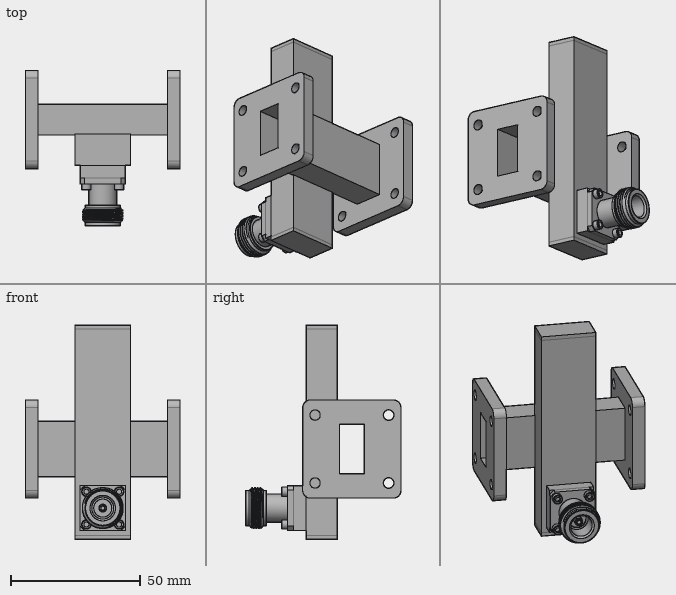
import cadquery as cq
import math

guide_length = 60.0
bore_depth_y = 9.525
bore_height = 19.05
guide_wall = 1.27
guide_depth_y = bore_depth_y + 2 * guide_wall
guide_height = bore_height + 2 * guide_wall

flange_size = 38.1
flange_thickness = 5.0
flange_corner_radius = 3.0
flange_hole_diameter = 4.0
flange_hole_spacing_y = 28.5
flange_hole_spacing_z = 26.3

arm_width = guide_height
arm_depth = guide_depth_y
arm_length = 80.0
arm_cap_thickness = 1.5
arm_overlap = 0.4
arm_bottom_z = -33.5
arm_back_y = -guide_depth_y / 2 + arm_overlap
arm_front_y = arm_back_y - arm_depth

mount_size = 17.48
connector_z = -22.88
pad_height = 5.0
plate_thickness = 2.3
plate_corner_chamfer = 1.75
plate_top = pad_height + plate_thickness

screw_spacing = 12.7
screw_head_diameter = 3.66
screw_head_height = 2.2
screw_head_chamfer = 0.2
screw_socket_diameter = 2.0
screw_socket_depth = 1.2

overall_depth_y = 60.27
connector_tip_y = flange_size / 2 - overall_depth_y
connector_top = arm_front_y - connector_tip_y
neck_diameter = 10.97
collar_length = 8.2
rim_diameter = 13.72
rim_chamfer = 0.2
rear_rim_length = 1.15
front_rim_length = 1.45
collar_base = connector_top - collar_length

thread_diameter = 15.875
thread_pitch = 25.4 / 24
thread_depth = 0.68
thread_start_angle = 195.0
thread_angle = 60.0
thread_turns = 5
groove_clearance = 0.1

mouth_diameter = 9.9
mouth_chamfer = 0.7
socket_depth = 8.0
insulator_diameter = 6.99
insulator_depth = 8.6
contact_diameter = 3.05
contact_recess = 5.0
contact_bore_diameter = 1.52
contact_bore_depth = 3.0
contact_chamfer = 0.3


def make_end_flange(center_x):
    """Square flange with rounded corners and four bolt holes."""
    plate = (
        cq.Workplane("XY")
        .box(flange_thickness, flange_size, flange_size)
        .edges("|X")
        .fillet(flange_corner_radius)
    )
    holes = (
        cq.Workplane("YZ")
        .rect(flange_hole_spacing_y, flange_hole_spacing_z, forConstruction=True)
        .vertices()
        .circle(flange_hole_diameter / 2)
        .extrude(flange_thickness, both=True)
    )
    return plate.cut(holes).translate((center_x, 0, 0))


def make_through_guide():
    """Rectangular tube with a flange at each end, still without its bore."""
    guide = cq.Workplane("XY").box(guide_length, guide_depth_y, guide_height)
    flange_x = (guide_length - flange_thickness) / 2
    for side in (-1, 1):
        guide = guide.union(make_end_flange(side * flange_x))
    return guide


def make_guide_bore():
    return cq.Workplane("XY").box(guide_length, bore_depth_y, bore_height)


def make_arm_block(bottom_z, height):
    """Upright block with the arm's cross-section."""
    center_y = (arm_back_y + arm_front_y) / 2
    block = cq.Workplane("XY").box(arm_width, arm_depth, height, centered=(True, True, False))
    return block.translate((0, center_y, bottom_z))


def make_arm():
    """Coupled arm closed by a cap at its lower and upper end."""
    arm = make_arm_block(arm_bottom_z, arm_length)
    for cap_z in (arm_bottom_z - arm_cap_thickness, arm_bottom_z + arm_length):
        arm = arm.union(make_arm_block(cap_z, arm_cap_thickness), clean=False)
    return arm


def make_disc(diameter, bottom, top):
    return cq.Workplane("XY").workplane(offset=bottom).circle(diameter / 2).extrude(top - bottom)


def make_screw_head():
    """Cap screw head with a round socket, standing on the mounting plate."""
    head = make_disc(screw_head_diameter, plate_top, plate_top + screw_head_height)
    head = head.faces(">Z").chamfer(screw_head_chamfer)
    return head.faces(">Z").workplane().hole(screw_socket_diameter, screw_socket_depth)


def make_mount():
    """Square pad, corner-chamfered plate and four screw heads."""
    pad = cq.Workplane("XY").rect(mount_size, mount_size).extrude(pad_height)
    plate = (
        cq.Workplane("XY")
        .workplane(offset=pad_height)
        .rect(mount_size, mount_size)
        .extrude(plate_thickness)
        .edges("|Z")
        .chamfer(plate_corner_chamfer)
    )
    mount = pad.union(plate, clean=False)
    for side_x in (-1, 1):
        for side_y in (-1, 1):
            place = (side_x * screw_spacing / 2, side_y * screw_spacing / 2, 0)
            mount = mount.union(make_screw_head().translate(place), clean=False)
    return mount


def make_collar_blank():
    """Revolved collar: two rims with a thicker thread band, coned at both ends, between them."""
    rim_radius = rim_diameter / 2
    band_radius = thread_diameter / 2
    cone = band_radius - rim_radius
    band_start = collar_base + rear_rim_length
    band_end = connector_top - front_rim_length
    return (
        cq.Workplane("XZ")
        .moveTo(0, collar_base)
        .lineTo(rim_radius - rim_chamfer, collar_base)
        .lineTo(rim_radius, collar_base + rim_chamfer)
        .lineTo(rim_radius, band_start)
        .lineTo(band_radius, band_start + cone)
        .lineTo(band_radius, band_end - cone)
        .lineTo(rim_radius, band_end)
        .lineTo(rim_radius, connector_top - rim_chamfer)
        .lineTo(rim_radius - rim_chamfer, connector_top)
        .lineTo(0, connector_top)
        .close()
        .revolve(360, (0, 0, 0), (0, 1, 0))
    )


def make_groove_turn():
    """One full helical turn of the 60 degree V groove, starting at the height of the origin."""
    band_radius = thread_diameter / 2
    mouth_radius = band_radius + groove_clearance
    root_radius = band_radius - thread_depth
    half_width = (mouth_radius - root_radius) * math.tan(math.radians(thread_angle / 2))
    helix = cq.Wire.makeHelix(thread_pitch, thread_pitch, band_radius)
    return (
        cq.Workplane("XZ")
        .moveTo(root_radius, 0)
        .lineTo(mouth_radius, half_width)
        .lineTo(mouth_radius, -half_width)
        .close()
        .sweep(cq.Workplane(helix), isFrenet=True)
    )


def make_collar():
    """Collar blank with the thread cut turn by turn, running out through both cones."""
    collar = make_collar_blank()
    turn = make_groove_turn().rotate((0, 0, 0), (0, 0, 1), thread_start_angle)
    groove_start = collar_base + rear_rim_length
    for index in range(thread_turns):
        groove = turn.translate((0, 0, groove_start + index * thread_pitch))
        collar = collar.cut(groove, clean=False)
    return collar


def make_socket():
    """Stepped round cavity with a chamfered mouth."""
    mouth_radius = mouth_diameter / 2
    bore_radius = mouth_radius - mouth_chamfer
    insulator_radius = insulator_diameter / 2
    return (
        cq.Workplane("XZ")
        .moveTo(0, connector_top)
        .lineTo(mouth_radius, connector_top)
        .lineTo(bore_radius, connector_top - mouth_chamfer)
        .lineTo(bore_radius, connector_top - socket_depth)
        .lineTo(insulator_radius, connector_top - socket_depth)
        .lineTo(insulator_radius, connector_top - insulator_depth)
        .lineTo(0, connector_top - insulator_depth)
        .close()
        .revolve(360, (0, 0, 0), (0, 1, 0))
    )


def make_contact():
    """Centre contact standing on the cavity floor, bored from its tip."""
    tip = connector_top - contact_recess
    contact = make_disc(contact_diameter, connector_top - insulator_depth, tip)
    contact = contact.faces(">Z").chamfer(contact_chamfer)
    return contact.faces(">Z").workplane().hole(contact_bore_diameter, contact_bore_depth)


def make_connector():
    """Mount, neck and threaded collar, pointing out of the arm toward -Y."""
    collar = make_collar()
    neck = make_disc(neck_diameter, plate_top, collar_base)
    body = make_mount().union(neck, clean=False).union(collar, clean=False)
    body = body.cut(make_socket(), clean=False).union(make_contact(), clean=False)
    return body.rotate((0, 0, 0), (1, 0, 0), 90).translate((0, arm_front_y, connector_z))


body = make_through_guide().union(make_arm(), clean=False).cut(make_guide_bore(), clean=False)
result = body.union(make_connector(), clean=False)